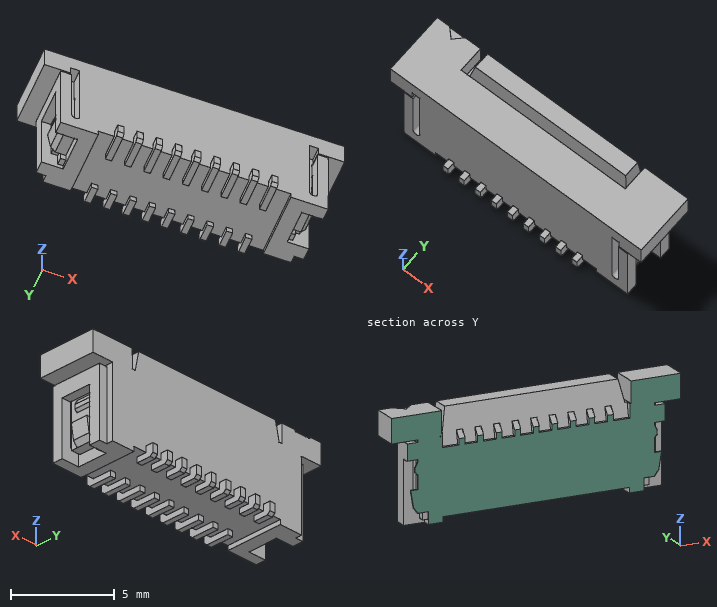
import cadquery as cq
import math

height = 5.75
width = 15.6
body_depth = 3.6
lead_span = 4.5

half_depth = body_depth / 2
standoff = 0.05

core_width = 11.94
flange_bottom = 4.43
recess_width = 10.0
recess_top = 0.33

leg_outer_x = 6.95
leg_top = 4.33
leg_back_y = 1.4
window_front_y = -1.15
window_back_y = 0.72
window_top = 3.43
window_floor_x = 5.82

slot_inner_x = core_width / 2
slot_outer_x = 6.38
slot_width = slot_outer_x - slot_inner_x
slot_bottom = 0.8
slot_top = 4.86
slot_head_width = 0.46

arm_outer_x = slot_outer_x
arm_front_y = -1.07
arm_back_y = 0.36
arm_bottom = 0.7
hook_front_y = -0.7
hook_root = 0.05
backing_outer_x = 6.45
backing_step_z = 1.02
backing_foot_x = 6.1
backing_bottom = 0.32

lower_hook_top = 1.93
lower_hook_knee = 1.02
lower_hook_reach = 0.39
lower_hook_knee_reach = 0.24

upper_hook_top = 3.33
upper_hook_bottom = 2.65
upper_hook_reach = 0.15
upper_hook_top_slope = 0.28

opening_width = 10.2
opening_front_y = 0.3
opening_floor = 4.6
tongue_width = 9.34
tongue_front_y = 0.86
tongue_angle = 12.0
cable_slot_width = 10.08
cable_slot_floor = 3.87

mark_x = -6.53
mark_size = 0.5
mark_depth = 0.1

contact_count = 9
pitch = 1.0
contact_width = 0.33
lead_height = 0.7
lead_chamfer = 0.17
front_lead_inner_y = -0.62
back_lead_inner_y = 1.18
contact_tip_back_y = 0.6
contact_tip_front_y = 0.32
contact_tip_z = 4.55
contact_tip_angle = 53.0


def block(x_range, y_range, z_range):
    """Box between the given coordinate limits."""
    size = [high - low for low, high in (x_range, y_range, z_range)]
    corner = (x_range[0], y_range[0], z_range[0])
    return cq.Workplane("XY").box(*size, centered=False).translate(corner)


def centered_block(x_width, y_range, z_range):
    """Box centred on X."""
    return block((-x_width / 2, x_width / 2), y_range, z_range)


def prism_along_x(points, x_center, length):
    """Extrude a (Y, Z) outline symmetrically about x_center."""
    profile = cq.Workplane("YZ", origin=(x_center, 0, 0)).polyline(points).close()
    return profile.extrude(length / 2, both=True)


def prism_along_y(points, y_range):
    """Extrude an (X, Z) outline between two Y limits."""
    profile = cq.Workplane("XZ", origin=(0, y_range[1], 0)).polyline(points).close()
    return profile.extrude(y_range[1] - y_range[0])


def make_housing():
    core = centered_block(core_width, (-half_depth, half_depth), (standoff, height))
    flange = centered_block(width, (-half_depth, half_depth), (flange_bottom, height))
    recess = centered_block(recess_width, (-half_depth, half_depth), (standoff, recess_top))
    return core.cut(recess).union(flange)


def make_window():
    """Cutter for the +X leg window, open at the bottom and sunk into the core."""
    window_y = (window_front_y, window_back_y)
    return block((window_floor_x, leg_outer_x), window_y, (standoff, window_top))


def make_end():
    """Leg frame with window, slot, latch arm and hooks for the +X end."""
    leg_x = (slot_inner_x, leg_outer_x)
    frame = block(leg_x, (-half_depth, leg_back_y), (standoff, leg_top))
    frame = frame.cut(make_window()).cut(make_slot())

    inner_x = window_floor_x
    backing_x = (inner_x, backing_outer_x)
    backing_y = (arm_back_y, window_back_y)
    backing = block(backing_x, backing_y, (backing_step_z, flange_bottom))
    foot = block((inner_x, backing_foot_x), backing_y, (backing_bottom, backing_step_z))
    back_plate = block(backing_x, (window_back_y, half_depth), (standoff, flange_bottom))
    arm_y = (arm_front_y, arm_back_y)
    arm = block((inner_x, arm_outer_x), arm_y, (arm_bottom, flange_bottom))
    end = frame.union(back_plate).union(backing).union(foot).union(arm)

    hook_y = (hook_front_y, arm_back_y)
    root_x = arm_outer_x - hook_root
    lower_hook = [
        (root_x, lower_hook_top),
        (arm_outer_x + lower_hook_reach, lower_hook_top),
        (arm_outer_x + lower_hook_knee_reach, lower_hook_knee),
        (arm_outer_x, arm_bottom),
        (root_x, arm_bottom),
    ]
    upper_tip_x = arm_outer_x + upper_hook_reach
    upper_hook = [
        (root_x, upper_hook_top),
        (arm_outer_x, upper_hook_top),
        (upper_tip_x, upper_hook_top - upper_hook_top_slope),
        (upper_tip_x, upper_hook_bottom + upper_hook_reach),
        (arm_outer_x, upper_hook_bottom),
        (root_x, upper_hook_bottom),
    ]
    for outline in (lower_hook, upper_hook):
        end = end.union(prism_along_y(outline, hook_y))
    return end


def make_slot():
    """Cutter for the +X slot, from the front face to the latch arm."""
    radius = slot_width / 2
    center_x = slot_inner_x + radius
    slot_y = (-half_depth, arm_front_y)
    round_z = slot_bottom + radius
    shank = block((slot_inner_x, slot_outer_x), slot_y, (round_z, flange_bottom))
    end_round = (
        cq.Workplane("XZ", origin=(center_x, arm_front_y, round_z))
        .circle(radius)
        .extrude(arm_front_y + half_depth)
    )
    head_x = (slot_inner_x, slot_inner_x + slot_head_width)
    head = block(head_x, slot_y, (leg_top, slot_top))
    return shank.union(end_round).union(head)


def make_opening():
    """Cutter for the cable opening, leaving the tapered tongue standing."""
    pocket = centered_block(opening_width, (opening_front_y, half_depth), (opening_floor, height))
    cable_slot = centered_block(
        cable_slot_width, (opening_front_y, tongue_front_y), (cable_slot_floor, height)
    )
    return pocket.union(cable_slot).cut(make_tongue())


def make_tongue():
    taper = math.tan(math.radians(tongue_angle))
    root_y = tongue_front_y - (height - cable_slot_floor) * taper
    side_profile = [
        (half_depth, height),
        (tongue_front_y, height),
        (root_y, cable_slot_floor),
        (half_depth, cable_slot_floor),
    ]
    tongue = prism_along_x(side_profile, 0, core_width)

    top_x = tongue_width / 2
    floor_x = top_x + (height - opening_floor) * taper
    end_profile = [
        (-top_x, height),
        (-floor_x, opening_floor),
        (-core_width / 2, opening_floor),
        (-core_width / 2, cable_slot_floor),
        (core_width / 2, cable_slot_floor),
        (core_width / 2, opening_floor),
        (floor_x, opening_floor),
        (top_x, height),
    ]
    return tongue.intersect(prism_along_y(end_profile, (-half_depth, half_depth)))


def make_pin_mark():
    return (
        cq.Workplane("XY", origin=(mark_x, half_depth, height))
        .polyline([(-mark_size, 0), (mark_size, 0), (0, -mark_size)])
        .close()
        .extrude(-mark_depth)
    )


def make_lead(x, inner_y, direction):
    """Solder lead running outward from inner_y; direction is the sign of Y."""
    outer_y = direction * lead_span / 2
    outline = [
        (inner_y, 0),
        (outer_y - direction * lead_chamfer, 0),
        (outer_y, lead_chamfer),
        (outer_y, lead_height),
        (inner_y, lead_height),
    ]
    return prism_along_x(outline, x, contact_width)


def make_contact(x):
    """Contact against the tongue, with a sloped tip, standing on the slot floor."""
    tip_drop = (contact_tip_back_y - contact_tip_front_y) * math.tan(math.radians(contact_tip_angle))
    outline = [
        (tongue_front_y, contact_tip_z - tip_drop),
        (contact_tip_back_y, contact_tip_z),
        (contact_tip_front_y, contact_tip_z - tip_drop),
        (contact_tip_front_y, cable_slot_floor),
        (tongue_front_y, cable_slot_floor),
    ]
    return prism_along_x(outline, x, contact_width)


right_end = make_end()
end_cutter = make_slot().union(make_window())
result = make_housing().cut(end_cutter).cut(end_cutter.mirror("YZ"))
result = result.union(right_end).union(right_end.mirror("YZ"))
result = result.cut(make_opening()).cut(make_pin_mark())
for index in range(contact_count):
    contact_x = (index - (contact_count - 1) / 2) * pitch
    result = result.union(make_lead(contact_x, front_lead_inner_y, -1))
    result = result.union(make_lead(contact_x, back_lead_inner_y, 1))
    result = result.union(make_contact(contact_x))